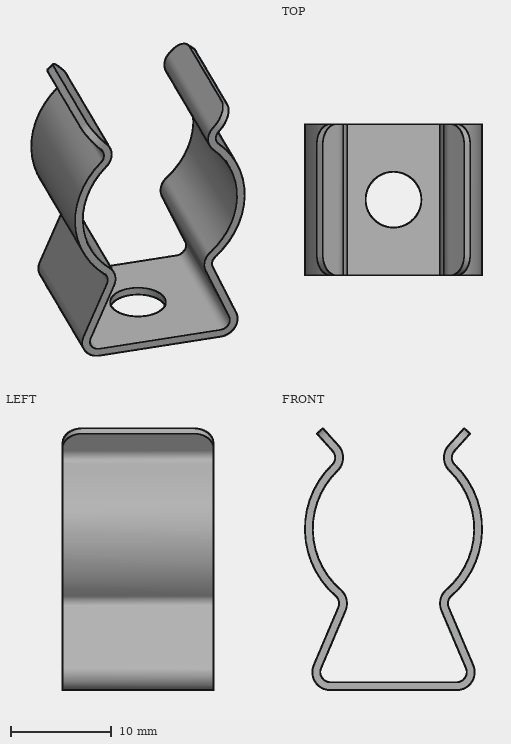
import cadquery as cq
import math

length = 26.0
width = 15.0
thickness = 0.8
overall_x = 17.6
hole_diameter = 5.5
inside_bend = 1.0
outside_bend = inside_bend + thickness
barrel_height = 16.02
barrel_outer = overall_x / 2
barrel_inner = barrel_outer - thickness
base_half_width = 8.05
waist_half_gap = 4.6
mouth_half_gap = 5.0
lip_tilt = math.radians(42)
lip_corner = 2.0

bend_reach = barrel_outer + inside_bend
base_x = -base_half_width + outside_bend
base_z = outside_bend
waist_x = -waist_half_gap - outside_bend
waist_z = barrel_height - math.sqrt(bend_reach**2 - waist_x**2)
mouth_x = -mouth_half_gap - outside_bend
mouth_z = barrel_height + math.sqrt(bend_reach**2 - mouth_x**2)

leg_span = math.hypot(waist_x - base_x, waist_z - base_z)
centre_lean = math.atan2(waist_x - base_x, waist_z - base_z)
leg_lean = math.asin((outside_bend + inside_bend) / leg_span) + centre_lean
waist_angle = math.atan2(barrel_height - waist_z, -waist_x)
mouth_angle = math.atan2(barrel_height - mouth_z, -mouth_x)
lip_length = (length - mouth_z - outside_bend * math.sin(lip_tilt)) / math.cos(lip_tilt)


def polar(x, z, radius, angle):
    return (x + radius * math.cos(angle), z + radius * math.sin(angle))


def bend(x, z, radius, start, end):
    """Start, middle and end points of an arc."""
    return [polar(x, z, radius, angle) for angle in (start, (start + end) / 2, end)]


def face_bends(base_radius, small_radius, barrel_radius):
    """Arcs of one face of the strip, from the base up to the lip."""
    return [
        bend(base_x, base_z, base_radius, -math.pi / 2, -math.pi - leg_lean),
        bend(waist_x, waist_z, small_radius, -leg_lean, waist_angle),
        bend(0, barrel_height, barrel_radius, waist_angle + math.pi, mouth_angle + math.pi),
        bend(mouth_x, mouth_z, small_radius, mouth_angle, lip_tilt),
    ]


def lip_end(lip_start):
    return polar(*lip_start, lip_length, math.pi / 2 + lip_tilt)


def make_half():
    base_out, waist_out, barrel_out, mouth_out = face_bends(outside_bend, inside_bend, barrel_outer)
    base_in, waist_in, barrel_in, mouth_in = face_bends(inside_bend, outside_bend, barrel_inner)
    profile = (
        cq.Workplane("XZ")
        .moveTo(0, 0)
        .lineTo(*base_out[0])
        .threePointArc(*base_out[1:])
        .lineTo(*waist_out[0])
        .threePointArc(*waist_out[1:])
        .threePointArc(*barrel_out[1:])
        .threePointArc(*mouth_out[1:])
        .lineTo(*lip_end(mouth_out[2]))
        .lineTo(*lip_end(mouth_in[2]))
        .lineTo(*mouth_in[2])
        .threePointArc(mouth_in[1], mouth_in[0])
        .threePointArc(barrel_in[1], barrel_in[0])
        .threePointArc(waist_in[1], waist_in[0])
        .lineTo(*base_in[2])
        .threePointArc(base_in[1], base_in[0])
        .lineTo(0, thickness)
        .close()
    )
    half = profile.extrude(width / 2, both=True)
    across_lip = cq.Vector(math.cos(lip_tilt), 0, math.sin(lip_tilt))
    return half.edges(cq.selectors.ParallelDirSelector(across_lip)).fillet(lip_corner)


half = make_half()
clip = half.union(half.mirror("YZ")).clean()
hole = cq.Workplane("XY").circle(hole_diameter / 2).extrude(thickness)
result = clip.cut(hole)